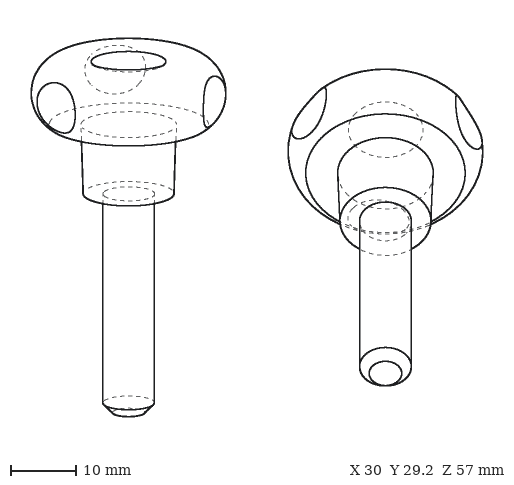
import cadquery as cq
import math

total_height = 57.0
head_height = 11.0
hub_height = 11.05
hub_top_z = total_height - head_height
hub_bottom_z = hub_top_z - hub_height

head_radius = 30.0 / 2
bulge_radius = 6.0
bulge_center_radius = head_radius - bulge_radius
bulge_center_z = total_height - bulge_radius
flat_offset = bulge_center_z - hub_top_z
flat_half_width = math.sqrt(bulge_radius**2 - flat_offset**2)
underside_radius = bulge_center_radius + flat_half_width
dish_radius = bulge_center_radius - flat_half_width
dish_z = bulge_center_z + flat_offset

scallop_angles = (-90, 30, 150)
scallop_radius = 17.1
scallop_floor_distance = 13.55

hub_top_radius = 14.7 / 2
hub_bottom_radius = 14.0 / 2

stud_radius = 8.0 / 2
tip_radius = 5.0 / 2
tip_height = 1.55


def make_head():
    """Revolve the dished bulge about the Z axis."""
    return (
        cq.Workplane("XZ")
        .moveTo(0, hub_top_z)
        .lineTo(underside_radius, hub_top_z)
        .threePointArc((bulge_center_radius, total_height), (dish_radius, dish_z))
        .lineTo(0, dish_z)
        .close()
        .revolve(360, (0, 0), (0, 1))
    )


def make_scallop(angle):
    """Upright cylinder whose inner side forms one scallop floor."""
    axis_distance = scallop_floor_distance + scallop_radius
    return (
        cq.Workplane("XY", origin=(0, 0, hub_top_z))
        .center(
            axis_distance * math.cos(math.radians(angle)),
            axis_distance * math.sin(math.radians(angle)),
        )
        .circle(scallop_radius)
        .extrude(head_height)
    )


def make_hub_and_stud():
    """Revolve the tapered hub and the stud with its chamfered tip."""
    profile = [
        (0, 0),
        (tip_radius, 0),
        (stud_radius, tip_height),
        (stud_radius, hub_bottom_z),
        (hub_bottom_radius, hub_bottom_z),
        (hub_top_radius, hub_top_z),
        (0, hub_top_z),
    ]
    return cq.Workplane("XZ").polyline(profile).close().revolve(360, (0, 0), (0, 1))


head = make_head()
for scallop_angle in scallop_angles:
    head = head.cut(make_scallop(scallop_angle))

result = head.union(make_hub_and_stud())